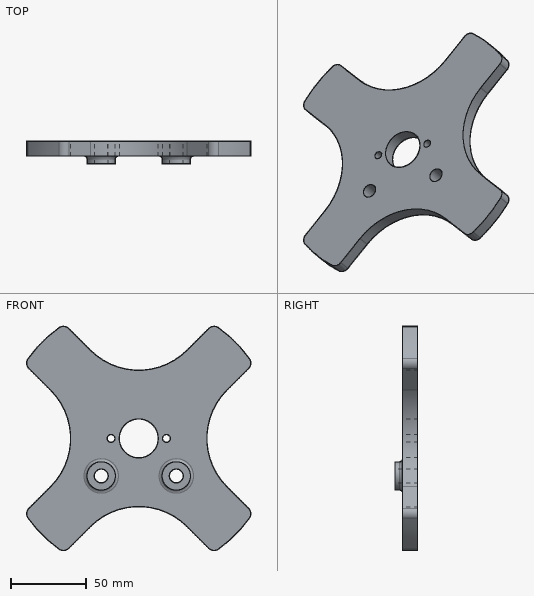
import cadquery as cq
import math

plate_thickness = 10.0
arm_angles = (45, 135, 225, 315)
tip_radius = 90.0
scallop_radius = 45.0
scallop_center = 90.0
tip_corner_radius = 5.0

bore_diameter = 25.5
side_hole_diameter = 5.0
side_hole_offset = 18.25

boss_circle_radius = 35.0
boss_diameter = 18.7
boss_height = 5.0
boss_fillet = 2.0
boss_hole_diameter = 9.0

diagonal = math.sqrt(0.5)
arm_half_width = scallop_center * diagonal - scallop_radius
tangent_distance = scallop_center * diagonal
boss_offset = boss_circle_radius * diagonal


def front_plane(points):
    """Workplane with local axes X and Z, facing -Y, positioned at the given points."""
    return cq.Workplane("XZ").pushPoints(points)


def rotated(point, angle):
    """Turn a point about the origin by an angle in degrees."""
    a = math.radians(angle)
    x, z = point
    return (x * math.cos(a) - z * math.sin(a), x * math.sin(a) + z * math.cos(a))


def make_plate():
    """Cross outline of straight-sided arms, arc tips and tangent scallops."""
    corner_distance = math.sqrt(tip_radius**2 - arm_half_width**2)
    half_pitch = 180 / len(arm_angles)
    scallop_bottom = scallop_center - scallop_radius

    outline = cq.Workplane("XZ").moveTo(*rotated((tangent_distance, -arm_half_width), arm_angles[0]))
    for arm_angle in arm_angles:
        scallop_angle = arm_angle + half_pitch
        next_arm_angle = scallop_angle + half_pitch
        outline = (
            outline
            .lineTo(*rotated((corner_distance, -arm_half_width), arm_angle))
            .threePointArc(
                rotated((tip_radius, 0), arm_angle),
                rotated((corner_distance, arm_half_width), arm_angle),
            )
            .lineTo(*rotated((tangent_distance, arm_half_width), arm_angle))
            .threePointArc(
                rotated((scallop_bottom, 0), scallop_angle),
                rotated((tangent_distance, -arm_half_width), next_arm_angle),
            )
        )
    plate = outline.close().extrude(-plate_thickness)

    for arm_angle in arm_angles:
        for side in (-1, 1):
            x, z = rotated((corner_distance, side * arm_half_width), arm_angle)
            corner_edge = cq.selectors.NearestToPointSelector((x, plate_thickness / 2, z))
            plate = plate.edges("|Y").edges(corner_edge).fillet(tip_corner_radius)
    return plate


def add_bosses(body, centers):
    """Round bosses with a fillet around the foot and a hole through boss and plate."""
    body = body.union(front_plane(centers).circle(boss_diameter / 2).extrude(boss_height))
    for x, z in centers:
        foot_edge = cq.selectors.NearestToPointSelector((x, 0, z))
        body = body.edges(foot_edge).fillet(boss_fillet)
    return cut_through(body, centers, boss_hole_diameter)


def cut_through(body, centers, diameter):
    """Cut round holes along Y through the bosses and the plate."""
    cutter = front_plane(centers).circle(diameter / 2).extrude(
        plate_thickness + boss_height, both=True
    )
    return body.cut(cutter)


boss_centers = [(-boss_offset, -boss_offset), (boss_offset, -boss_offset)]
side_hole_centers = [(-side_hole_offset, 0), (side_hole_offset, 0)]

result = make_plate()
result = add_bosses(result, boss_centers)
result = cut_through(result, [(0, 0)], bore_diameter)
result = cut_through(result, side_hole_centers, side_hole_diameter)